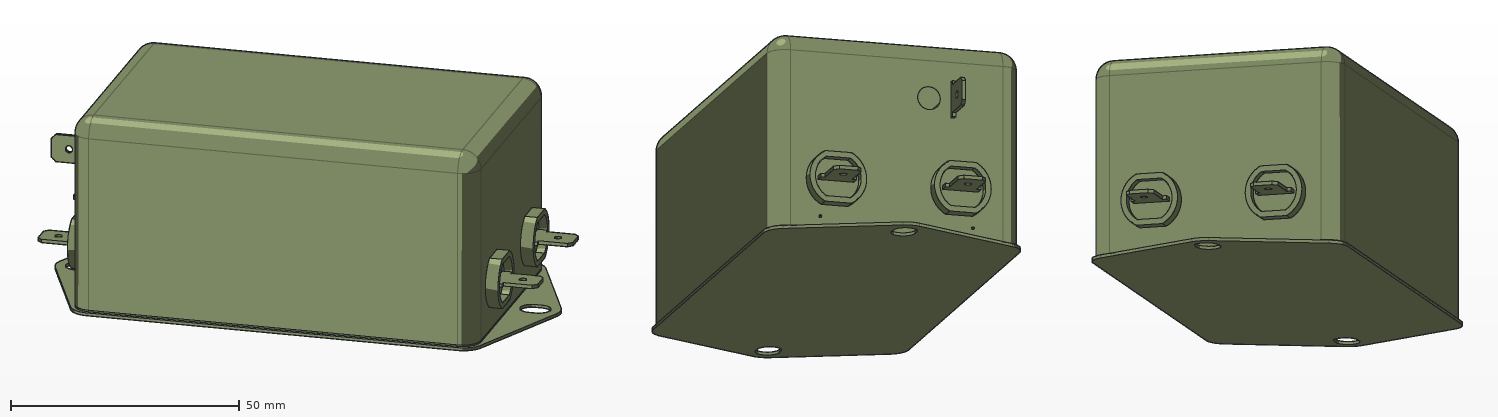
import cadquery as cq
import math

plate_length = 114.9
plate_width = 58.5
plate_thickness = 0.7
plate_margin = 0.8
ear_angle = 23.0
ear_tip_radius = 4.9
pad_height = 0.3
slot_length = 6.9
slot_width = 5.3
slot_x = 51.7

total_height = 45.0
case_length = 92.2
case_width = plate_width - 2 * plate_margin
case_base_z = plate_thickness + pad_height
case_height = total_height - case_base_z
case_radius = 4.1
wall_x = case_length / 2
dimple_diameter = 0.6
dimple_depth = 0.3
dimple_y = 17.5
dimple_z = 3.7

blade_length = 7.6
blade_width = 6.3
blade_thickness = 0.8
blade_chamfer = 1.0
blade_hole_diameter = 1.6
blade_hole_setback = 4.0
shoulder_width = 8.2

terminal_y = 14.2
terminal_z = 12.1
terminal_tip_x = 56.9
bushing_diameter = 13.0
bushing_height = 11.5
bushing_projection = 2.9
bushing_rim = 1.3
recess_depth = 2.0

earth_tip_x = 54.8
earth_y = -12.8
earth_z = 32.4
rivet_y = -7.4
rivet_diameter = 5.2
rivet_height = 0.7


def make_rounded_block(base_z, height):
    """Block with the footprint of the case and rounded upright edges."""
    block = cq.Workplane("XY", origin=(0, 0, base_z)).rect(case_length, case_width).extrude(height)
    return block.edges("|Z").fillet(case_radius)


def make_plate():
    """Thin plate with a slot in each pointed ear and a low pad that carries the case."""
    lean = math.radians(ear_angle)
    tip_x = plate_length / 2 + ear_tip_radius * (1 / math.cos(lean) - 1)
    corner_y = plate_width / 2
    corner_x = tip_x - corner_y * math.tan(lean)
    outline = [
        (tip_x, 0),
        (corner_x, corner_y),
        (-corner_x, corner_y),
        (-tip_x, 0),
        (-corner_x, -corner_y),
        (corner_x, -corner_y),
    ]
    plate = cq.Workplane("XY").polyline(outline).close().extrude(plate_thickness)
    plate = plate.edges("|Z and (>X or <X)").fillet(ear_tip_radius)
    plate = plate.edges("|Z and (>Y or <Y)").fillet(case_radius + plate_margin)
    slots = (
        cq.Workplane("XY")
        .pushPoints([(-slot_x, 0), (slot_x, 0)])
        .slot2D(slot_length, slot_width)
        .extrude(plate_thickness)
    )
    pad = make_rounded_block(plate_thickness, pad_height)
    return plate.cut(slots).union(pad)


def make_blade(root_length):
    """Flat blade in the XY plane, tip at the origin, pointing along -X."""
    shoulder = (
        cq.Workplane("XY")
        .box(root_length, shoulder_width, blade_thickness, centered=(False, True, True))
        .translate((blade_length, 0, 0))
    )
    blade = (
        cq.Workplane("XY")
        .box(blade_length, blade_width, blade_thickness, centered=(False, True, True))
        .edges("|Z and <X")
        .chamfer(blade_chamfer)
    )
    hole = (
        cq.Workplane("XY")
        .center(blade_hole_setback, 0)
        .circle(blade_hole_diameter / 2)
        .extrude(blade_thickness, both=True)
    )
    return blade.union(shoulder).cut(hole)


def make_flatted_disc(diameter, height, start_x, end_x):
    """Disc along X with its top and bottom cut flat."""
    length = end_x - start_x
    disc = cq.Workplane("YZ").circle(diameter / 2).extrude(length)
    flats = cq.Workplane("YZ").rect(diameter, height).extrude(length)
    return disc.intersect(flats).translate((start_x, 0, 0))


def make_power_terminal():
    """Recessed bushing and its blade on the -X wall, centred on the X axis."""
    face_x = -wall_x - bushing_projection
    floor_x = face_x + recess_depth
    bushing = make_flatted_disc(bushing_diameter, bushing_height, face_x, -wall_x)
    recess = make_flatted_disc(
        bushing_diameter - 2 * bushing_rim, bushing_height - 2 * bushing_rim, face_x, floor_x
    )
    root_length = terminal_tip_x - blade_length - wall_x
    blade = make_blade(root_length).translate((-terminal_tip_x, 0, 0))
    return bushing.cut(recess).union(blade)


def make_case():
    """Rounded case with two power terminals on each end wall."""
    case = make_rounded_block(case_base_z, case_height).edges(">Z").fillet(case_radius)
    terminal = make_power_terminal()
    for turn in (0, 180):
        for y in (-terminal_y, terminal_y):
            placed = terminal.translate((0, y, terminal_z)).rotate((0, 0, 0), (0, 0, 1), turn)
            case = case.union(placed)
    dimples = (
        cq.Workplane("YZ", origin=(-wall_x, 0, dimple_z))
        .pushPoints([(-dimple_y, 0), (dimple_y, 0)])
        .circle(dimple_diameter / 2)
        .extrude(dimple_depth)
    )
    return case.cut(dimples)


def make_earth_terminal():
    """Upright blade whose shoulder meets the -X wall."""
    root_length = earth_tip_x - blade_length - wall_x
    blade = make_blade(root_length).rotate((0, 0, 0), (1, 0, 0), 90)
    return blade.translate((-earth_tip_x, earth_y, earth_z))


def make_rivet():
    """Shallow domed rivet head seated on the -X wall."""
    rim_radius = rivet_diameter / 2
    dome_radius = (rim_radius**2 + rivet_height**2) / (2 * rivet_height)
    half_arc = math.asin(rim_radius / dome_radius) / 2
    arc_middle = (-rivet_height + dome_radius * (1 - math.cos(half_arc)), dome_radius * math.sin(half_arc))
    dome = (
        cq.Workplane("XY")
        .moveTo(-rivet_height, 0)
        .threePointArc(arc_middle, (0, rim_radius))
        .lineTo(0, 0)
        .close()
        .revolve(360, (0, 0, 0), (1, 0, 0))
    )
    return dome.translate((-wall_x, rivet_y, earth_z))


plate = make_plate()
case = make_case()
earth_terminal = make_earth_terminal()
rivet = make_rivet()

result = cq.Compound.makeCompound(
    [plate.val(), case.val(), earth_terminal.val(), rivet.val()]
)